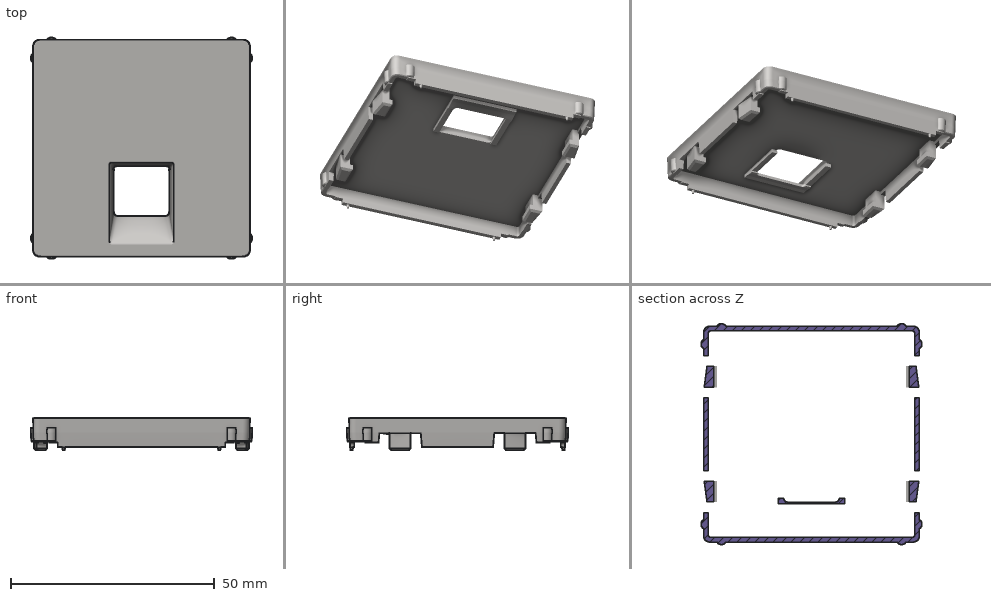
import cadquery as cq
import math

height = 8.0
overall_width = 54.4
cover_width = 53.3
corner_radius = 1.7
edge_bevel_width = 0.4
edge_bevel_depth = 0.08
plate_thickness = 2.9
wall_thickness = 1.1
upper_draft = 1.0
lower_draft = 3.0

seam_depth = 3.6
notch_depth = 3.75
corner_wall_depth = 5.8
foot_depth = 6.05
long_wall_depth = 7.2

long_wall_half = 20.6
notch_inner_half = 9.05
notch_outer_half = 19.15
notch_flare = 0.3
foot_outer_half = 22.6
corner_bevel = 0.2

bump_offset = 22.1
bump_radius = 1.3
bump_top_depth = 2.45

clip_inner_half = 11.5
clip_outer_half = 16.7
clip_inner_end_x = 26.4
clip_outer_end_x = 25.7
clip_hook_x = 23.15
clip_shank_x = 23.9
clip_hook_depth = 6.2
clip_chamfer = 0.5

pin_x = 19.1
pin_y = 26.0
pin_top_radius = 0.4
pin_tip_radius = 0.25

window_half_width = 7.9
window_rear_y = -3.55
window_front_y = -23.35
window_corner_radius = 0.6
window_bevel_width = 0.25
window_rear_bevel_width = 0.45
shaft_half_width = 6.75
shaft_rear_y = -4.6
shaft_front_y = -16.6
shaft_corner_radius = 0.9
ramp_depth = 3.4
lip_depth = 4.1
collar_depth = 3.8
collar_half_width = 8.2
collar_rear_y = -5.2
collar_front_y = -19.6
ramp_lip_y = -18.3


def level(depth):
    """Z of a given depth below the top face."""
    return height - depth


def block(x0, x1, y0, y1, depth_top, depth_bottom):
    """Axis-aligned box between two depths."""
    size = (x1 - x0, y1 - y0, depth_bottom - depth_top)
    return cq.Workplane("XY").box(*size, centered=False).translate((x0, y0, level(depth_bottom)))


def four_corners(solid):
    """The solid with its mirror images in the XZ and YZ planes."""
    pair = solid.union(solid.mirror("YZ"))
    return pair.union(pair.mirror("XZ"))


def rounded_rectangle(x_half, y0, y1, radius, depth):
    """Sketch of a rectangle with round corners, centred on X, at a given depth."""
    outline = cq.Sketch().rect(2 * x_half, y1 - y0).vertices().fillet(radius)
    return outline.moved(cq.Location(cq.Vector(0, (y0 + y1) / 2, level(depth))))


def rounded_square(half, radius, depth):
    return rounded_rectangle(half, -half, half, radius, depth)


def loft_between(lower, upper):
    return cq.Workplane("XY").placeSketch(lower, upper).loft(ruled=True)


def make_corner_bevel_cutter(seam_half):
    """Removes the lower outer edge of one corner."""
    bevel_start = corner_wall_depth - corner_bevel
    start_half = seam_half - (bevel_start - seam_depth) * math.tan(math.radians(lower_draft))
    kept = loft_between(
        rounded_square(start_half - corner_bevel, corner_radius, corner_wall_depth),
        rounded_square(start_half, corner_radius, bevel_start),
    )
    outer = overall_width / 2
    corner = block(foot_outer_half, outer, foot_outer_half, outer, bevel_start, corner_wall_depth)
    return corner.cut(kept)


def make_notch_cutter(x0, x1):
    """Flared notch through one half of a side wall."""
    return (
        cq.Workplane("YZ", origin=(x0, 0, 0))
        .moveTo(notch_inner_half, level(notch_depth))
        .lineTo(notch_outer_half, level(notch_depth))
        .lineTo(notch_outer_half + notch_flare, level(long_wall_depth))
        .lineTo(notch_inner_half - notch_flare, level(long_wall_depth))
        .close()
        .extrude(x1 - x0)
    )


def make_shell():
    """Drafted square cover with a skirt, cut to its different wall heights."""
    top_half = cover_width / 2
    seam_half = top_half - seam_depth * math.tan(math.radians(upper_draft))
    lower_drop = long_wall_depth - seam_depth
    bottom_half = seam_half - lower_drop * math.tan(math.radians(lower_draft))

    top_outline = rounded_square(top_half, corner_radius, edge_bevel_depth)
    seam_outline = rounded_square(seam_half, corner_radius, seam_depth)
    bevel_outline = rounded_square(top_half - edge_bevel_width, corner_radius - edge_bevel_width, 0)
    bottom_outline = rounded_square(bottom_half, corner_radius, long_wall_depth)
    shell = loft_between(bottom_outline, seam_outline)
    shell = shell.union(loft_between(seam_outline, top_outline))
    shell = shell.union(loft_between(top_outline, bevel_outline))

    inside = bottom_half - wall_thickness
    cavity = (
        cq.Workplane("XY")
        .placeSketch(rounded_square(inside, corner_radius - wall_thickness, long_wall_depth))
        .extrude(long_wall_depth - plate_thickness)
    )
    shell = shell.cut(cavity)

    corner = block(foot_outer_half, top_half, foot_outer_half, top_half, corner_wall_depth, height)
    front_foot = block(long_wall_half, foot_outer_half, 0, top_half, foot_depth, height)
    side_foot = block(0, top_half, notch_outer_half, foot_outer_half, foot_depth, height)
    corner_bevel_cutter = make_corner_bevel_cutter(seam_half)
    notch = make_notch_cutter(inside, top_half)
    for cutter in (corner, front_foot, side_foot, corner_bevel_cutter, notch):
        shell = shell.cut(four_corners(cutter))
    return shell


def make_bumps():
    """Two round locating bumps on each outer wall, bevelled at the lower end."""
    centre = overall_width / 2 - bump_radius
    inside = cover_width / 2 - wall_thickness
    seam_points = cq.Workplane("XY", origin=(0, 0, level(seam_depth))).pushPoints(
        [(bump_offset, centre), (centre, bump_offset)]
    )
    upper = seam_points.circle(bump_radius).extrude(seam_depth - bump_top_depth)
    lower = (
        seam_points.circle(bump_radius)
        .extrude(seam_depth - corner_wall_depth, taper=lower_draft)
        .faces("<Z")
        .chamfer(corner_bevel)
    )
    bumps = upper.union(lower)
    bumps = bumps.cut(block(0, inside, 0, inside, 0, height))
    return four_corners(bumps)


def make_clips():
    """Clips in the side notches: slanted outer face, bevelled end, inward hook."""
    clip = (
        cq.Workplane("XY")
        .moveTo(clip_hook_x, clip_inner_half)
        .lineTo(clip_inner_end_x, clip_inner_half)
        .lineTo(clip_outer_end_x, clip_outer_half)
        .lineTo(clip_hook_x, clip_outer_half)
        .close()
        .extrude(level(plate_thickness))
        .faces("<Z")
        .chamfer(clip_chamfer)
    )
    above_hook = block(
        clip_hook_x, clip_shank_x, clip_inner_half, clip_outer_half, plate_thickness, clip_hook_depth
    )
    return four_corners(clip.cut(above_hook))


def make_pins():
    """Conical pins on the lower edges of the front and rear walls."""
    pin = (
        cq.Workplane("XY", origin=(pin_x, pin_y, level(long_wall_depth)))
        .circle(pin_top_radius)
        .workplane(offset=long_wall_depth - height)
        .circle(pin_tip_radius)
        .loft()
    )
    return four_corners(pin)


def make_collar():
    """Walls around the shaft below the plate, with a lip under the ramp."""
    collar = block(
        -collar_half_width, collar_half_width, collar_front_y, collar_rear_y, plate_thickness, collar_depth
    )
    lip = (
        cq.Workplane("YZ", origin=(-collar_half_width, 0, 0))
        .moveTo(ramp_lip_y, level(collar_depth))
        .lineTo(shaft_front_y, level(lip_depth))
        .lineTo(shaft_front_y + shaft_corner_radius, level(lip_depth))
        .lineTo(shaft_front_y + shaft_corner_radius, level(collar_depth))
        .close()
        .extrude(2 * collar_half_width)
    )
    return collar.union(lip)


def make_window_void():
    """Drafted shaft with its ramp, opening into a shallow bevel at the top face."""
    rim = rounded_rectangle(
        window_half_width, window_front_y, window_rear_y, window_corner_radius, edge_bevel_depth
    )
    foot = rounded_rectangle(
        shaft_half_width, shaft_front_y, shaft_rear_y, shaft_corner_radius, ramp_depth
    )
    mouth = rounded_rectangle(
        window_half_width + window_bevel_width,
        window_front_y - window_bevel_width,
        window_rear_y + window_rear_bevel_width,
        window_corner_radius + window_bevel_width,
        0,
    )
    outlet = cq.Workplane("XY").placeSketch(foot).extrude(ramp_depth - lip_depth)
    return outlet.union(loft_between(foot, rim)).union(loft_between(rim, mouth))


result = make_shell()
for feature in (make_bumps(), make_clips(), make_pins(), make_collar()):
    result = result.union(feature)
result = result.cut(make_window_void())